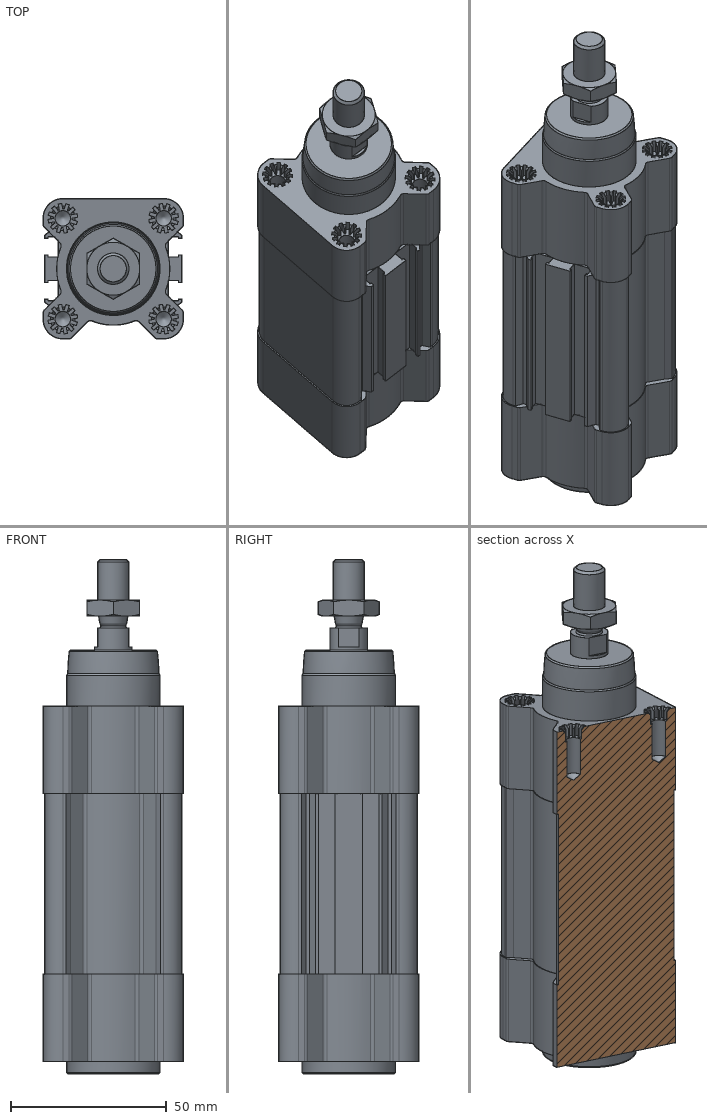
import cadquery as cq
import math

rear_boss_height = 4.0
cap_height = 28.0
barrel_height = 58.0
collar_height = 10.4
front_boss_height = 18.0
rod_step_height = 7.1
overall_height = 165.1

barrel_bottom = rear_boss_height + cap_height
front_cap_bottom = barrel_bottom + barrel_height
front_face = front_cap_bottom + cap_height
front_boss_top = front_face + front_boss_height
rod_shoulder = front_boss_top + rod_step_height

cap_width = 45.0
screw_offset = 16.2
cap_half = cap_width / 2
cap_waist_radius = 18.2
cap_notch_half = 13.7
mouth_round = 1.3
cap_waist_round = 1.2

barrel_inset = 0.5
barrel_half = cap_half - barrel_inset
barrel_waist_radius = 18.0
barrel_waist_round = 1.2
barrel_corner_round = barrel_half - screw_offset
post_half_gap = 15.2
post_foot = 13.7
post_flank_depth = 2.0
slot_floor = 17.7
rib_neck_half = 3.8
rib_lip_half = 4.5
slot_lip_inner = 9.7
slot_wall = 10.2
slot_lip_outer = 10.7
slot_lip_thickness = 1.2
groove_inner = 12.5
groove_depth = 2.3

boss_radius = 30.0 / 2
cover_base_radius = 14.7
cover_top_radius = 14.2
cover_crown = 0.08
collar_chamfer = 0.5
boss_chamfer = 0.5

tooth_count = 12
socket_outer_radius = 9.5 / 2
socket_inner_radius = 6.0 / 2
socket_depth = 4.0
countersink_radius = 8.0 / 2
screw_bore_radius = 5.0 / 2
screw_bore_depth = 16.0
drill_point_angle = 118.0

rod_radius = 12.0 / 2
rod_flats_width = 10.0
rod_flats_offset = 1.0
thread_radius = 10.0 / 2
neck_radius = 8.0 / 2
neck_end_radius = 8.6 / 2
neck_height = 1.3
run_out_height = 4.1
rod_end_chamfer = 0.8
nut_bottom = 147.0
nut_height = 5.1
nut_width = 17.0
nut_chamfer_angle = 22.0


def cylinder(radius, bottom, height):
    return cq.Workplane("XY").workplane(offset=bottom).circle(radius).extrude(height)


def outline_prism(points, bottom, height):
    return cq.Workplane("XY").workplane(offset=bottom).polyline(points).close().extrude(height)


def square_block(half, bottom, height):
    side = 2 * half
    return cq.Workplane("XY").workplane(offset=bottom).rect(side, side).extrude(height)


def side_notch(half_outline, waist_radius, waist_round, bottom, height):
    """Cutter for the -Y side: a mirrored outline that stops at the round waist."""
    mirrored = [(-x, y) for x, y in reversed(half_outline)]
    notch = outline_prism(half_outline + mirrored, bottom, height)
    notch = notch.cut(cylinder(waist_radius, bottom, height))
    return notch.edges("|Z").edges(">Y").fillet(waist_round)


def end_cap(bottom):
    """Square cap with round corners and 45 degree notches on -X, -Y and +X."""
    notch_run = cap_notch_half / 2
    half_outline = [
        (cap_notch_half, -cap_half),
        (cap_notch_half - notch_run, -cap_half + notch_run),
    ]
    notch = side_notch(half_outline, cap_waist_radius, cap_waist_round, bottom, cap_height)
    cap = square_block(cap_half, bottom, cap_height)
    for angle in (-90, 0, 90):
        cap = cap.cut(notch.rotate((0, 0, 0), (0, 0, 1), angle))
    mouths = "((<Y and (not <X) and (not >X)) or ((<X or >X) and (not <Y) and (not >Y)))"
    cap = cap.edges("|Z").edges(mouths).fillet(mouth_round)
    corners = "(<X or >X) and (<Y or >Y)"
    return cap.edges("|Z").edges(corners).fillet(cap_half - screw_offset)


def side_slot():
    """T-slot half on the -X side, between the middle rib and the upper lip."""
    lip_back = barrel_half - slot_lip_thickness
    return outline_prism(
        [
            (-barrel_half, rib_lip_half),
            (-lip_back, rib_lip_half),
            (-lip_back, rib_neck_half),
            (-slot_floor, rib_neck_half),
            (-slot_floor, slot_wall),
            (-lip_back, slot_wall),
            (-lip_back, slot_lip_inner),
            (-barrel_half, slot_lip_inner),
        ],
        barrel_bottom,
        barrel_height,
    )


def side_groove():
    """Tapered groove on the -X side, between the upper lip and the corner post."""
    groove_floor = barrel_half - groove_depth
    return outline_prism(
        [
            (-barrel_half, slot_lip_outer),
            (-groove_floor, groove_inner),
            (-groove_floor, post_foot),
            (-barrel_half, post_half_gap),
        ],
        barrel_bottom,
        barrel_height,
    )


def barrel():
    block = square_block(barrel_half, barrel_bottom, barrel_height)
    block = block.edges("|Z").fillet(barrel_corner_round)
    flank_end = -barrel_half + post_flank_depth
    notch_run = post_foot / 2
    half_outline = [
        (post_half_gap, -barrel_half),
        (post_foot, flank_end),
        (post_foot - notch_run, flank_end + notch_run),
    ]
    notch = side_notch(
        half_outline, barrel_waist_radius, barrel_waist_round, barrel_bottom, barrel_height
    )
    block = block.cut(notch)
    for cutter in (side_slot(), side_groove()):
        left_pair = cutter.union(cutter.mirror("XZ"))
        block = block.cut(left_pair).cut(left_pair.mirror("YZ"))
    return block


def rear_boss():
    boss = cylinder(boss_radius, 0, rear_boss_height)
    return boss.faces("<Z").chamfer(boss_chamfer)


def front_boss():
    """Plain collar with a crowned cover on top."""
    collar_top = front_face + collar_height
    cover_edge = front_boss_top - boss_chamfer
    mid_radius = (cover_base_radius + cover_top_radius) / 2 + cover_crown
    mid_height = (collar_top + cover_edge) / 2
    return (
        cq.Workplane("XZ")
        .moveTo(0, front_face)
        .lineTo(boss_radius, front_face)
        .lineTo(boss_radius, collar_top - collar_chamfer)
        .lineTo(cover_base_radius, collar_top)
        .threePointArc((mid_radius, mid_height), (cover_top_radius, cover_edge))
        .lineTo(cover_top_radius - boss_chamfer, front_boss_top)
        .lineTo(0, front_boss_top)
        .close()
        .revolve(360, (0, 0, 0), (0, 1, 0))
    )


def screw_socket():
    """Serrated socket with a drilled bore below it, on the cylinder axis."""
    points = []
    tooth_pitch = 2 * math.pi / tooth_count
    tooth_corners = (
        (socket_inner_radius, 0.0),
        (socket_outer_radius, 0.15),
        (socket_outer_radius, 0.6),
        (socket_inner_radius, 0.75),
    )
    for tooth in range(tooth_count):
        for radius, pitch_share in tooth_corners:
            angle = (tooth + pitch_share) * tooth_pitch
            points.append((radius * math.cos(angle), radius * math.sin(angle)))
    serrations = outline_prism(points, front_face - socket_depth, socket_depth)
    point_height = screw_bore_radius / math.tan(math.radians(drill_point_angle / 2))
    bore_bottom = front_face - screw_bore_depth
    countersink_end = front_face - (countersink_radius - screw_bore_radius)
    bore = (
        cq.Workplane("XZ")
        .polyline(
            [
                (0, front_face),
                (countersink_radius, front_face),
                (screw_bore_radius, countersink_end),
                (screw_bore_radius, bore_bottom),
                (0, bore_bottom - point_height),
            ]
        )
        .close()
        .revolve(360, (0, 0, 0), (0, 1, 0))
    )
    return serrations.union(bore)


def make_housing():
    housing = barrel()
    for part in (end_cap(rear_boss_height), end_cap(front_cap_bottom), rear_boss(), front_boss()):
        housing = housing.union(part)
    socket = screw_socket()
    for x in (-screw_offset, screw_offset):
        for y in (-screw_offset, screw_offset):
            housing = housing.cut(socket.translate((x, y, 0)))
    return housing.cut(cylinder(rod_radius, front_face, front_boss_height))


def make_rod():
    neck_top = rod_shoulder + neck_height
    thread_bottom = neck_top + run_out_height
    rod = (
        cq.Workplane("XZ")
        .polyline(
            [
                (0, front_face),
                (rod_radius, front_face),
                (rod_radius, rod_shoulder),
                (neck_end_radius, rod_shoulder),
                (neck_radius, rod_shoulder + neck_height / 2),
                (neck_end_radius, neck_top),
                (thread_radius, thread_bottom),
                (thread_radius, overall_height - rod_end_chamfer),
                (thread_radius - rod_end_chamfer, overall_height),
                (0, overall_height),
            ]
        )
        .close()
        .revolve(360, (0, 0, 0), (0, 1, 0))
    )
    flats_bottom = front_boss_top + rod_flats_offset
    flats_height = rod_shoulder - flats_bottom
    flats = (
        cylinder(2 * rod_radius, flats_bottom, flats_height)
        .cut(
            cq.Workplane("XY")
            .workplane(offset=flats_bottom)
            .rect(rod_flats_width, 4 * rod_radius)
            .extrude(flats_height)
        )
    )
    return rod.cut(flats)


def make_nut():
    """Hexagon nut with flats on -X and +X and chamfered corners."""
    corner_radius = nut_width / 2 / math.cos(math.radians(30))
    cone_rise = (corner_radius - nut_width / 2) * math.tan(math.radians(nut_chamfer_angle))
    nut_top = nut_bottom + nut_height
    hexagon = (
        cq.Workplane("XY")
        .workplane(offset=nut_bottom)
        .polygon(6, 2 * corner_radius)
        .extrude(nut_height)
        .rotate((0, 0, 0), (0, 0, 1), 90)
    )
    envelope = (
        cq.Workplane("XZ")
        .polyline(
            [
                (0, nut_bottom),
                (nut_width / 2, nut_bottom),
                (corner_radius, nut_bottom + cone_rise),
                (corner_radius, nut_top - cone_rise),
                (nut_width / 2, nut_top),
                (0, nut_top),
            ]
        )
        .close()
        .revolve(360, (0, 0, 0), (0, 1, 0))
    )
    return hexagon.intersect(envelope).cut(cylinder(thread_radius, nut_bottom, nut_height))


housing = make_housing()
rod = make_rod()
nut = make_nut()

result = cq.Compound.makeCompound([housing.val(), rod.val(), nut.val()])